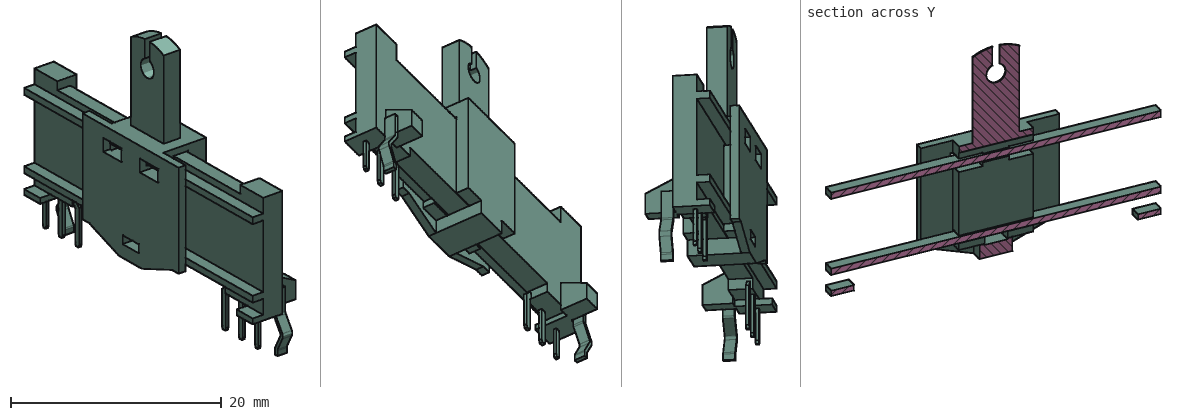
import cadquery as cq


CLEARANCE = 0.1

LENGTH = 35.0
RAIL_FRONT = 2.2
RAIL_BACK = 4.55
RAIL_BOTTOM = 1.68
RAIL_TOP = 12.1
LEDGE_FRONT = 3.78
LEDGE_TOP = 11.1

RIB_FRONT = 0.95
RIB_HEIGHT = 0.75
LOWER_RIB_BOTTOM = 2.3
UPPER_RIB_BOTTOM = 10.65

POST_TOP = 13.05
POST_INNER = 14.0
LUG_INNER = 11.72
LUG_BOTTOM = 0.63
FOOT_LENGTH = 2.45

BRACKET_OUTER = 15.85
BRACKET_WIDTH = 1.82
BRACKET_BACK = 7.5
BRACKET_BACK_HEIGHT = 2.0
BRACKET_FRONT_HEIGHT = 3.43

PIN_FRONT = 2.4
PIN_THICKNESS = 0.3
PIN_BOTTOM = -3.5
PIN_TIP_HEIGHT = 0.3
PIN_TIP_CUT = 0.1
PIN_WIDTH = 0.63
FOOT_PIN_X = 16.25
FOOT_PIN_WIDTH = 0.52
LUG_PIN_X = 13.8
BENT_PIN_X = 11.25
BENT_PIN_TOP = 1.3
BENT_PIN_FLAT = 0.25

CLIP_FRONT = 4.72
CLIP_BACK = 5.88
CLIP_THICKNESS = 0.42
CLIP_BEND_Z = -0.75
CLIP_PEAK_Z = -2.5
CLIP_TAIL_Z = -4.25
CLIP_BOTTOM = -4.95
CLIP_PEAK_X = 17.43
CLIP_TAIL_X = 16.52
CLIP_PEAK_RADIUS = 0.52
CLIP_BEND_RADIUS = 0.35

PLATE_THICKNESS = 0.85
PLATE_HALF_WIDTH = 7.35
PLATE_TAPER_HALF_WIDTH = 6.35
PLATE_TIP_HALF_WIDTH = 1.75
SLIDER_TOP = 12.95
BLOCK_WIDTH = 7.9
BLOCK_BACK = 6.02

WINDOW_INNER = 1.4
WINDOW_OUTER = 4.2
WINDOW_BOTTOM = 10.1
WINDOW_TOP = 11.6
LOWER_WINDOW_WIDTH = 2.45
LOWER_WINDOW_BOTTOM = 1.47
LOWER_WINDOW_TOP = 2.4

LEVER_WIDTH = 5.0
LEVER_THICKNESS = 2.0
LEVER_FRONT = 2.03
LEVER_SHOULDER = 22.33
LEVER_PEAK = 22.95
HOLE_DIAMETER = 2.0
HOLE_Z = 19.95
SLOT_WIDTH = 0.75
WEB_THICKNESS = 0.65
WEB_TOP = 22.22


def box(x0, x1, y0, y1, z0, z1):
    """Block between two opposite corners."""
    return cq.Workplane("XY").box(x1 - x0, y1 - y0, z1 - z0, centered=False).translate((x0, y0, z0))


def extrude_y(points, y0, y1):
    """Polygon of (X, Z) points extruded from y0 to y1."""
    return cq.Workplane("XZ", origin=(0, y0, 0)).polyline(points).close().extrude(y0 - y1)


def extrude_x(points, width):
    """Polygon of (Y, Z) points extruded to the given width, centred on X = 0."""
    return cq.Workplane("YZ").polyline(points).close().extrude(width / 2, both=True)


def rail(length, gap=0.0):
    """Stepped rail section; a gap enlarges it into the matching tunnel."""
    bottom = RAIL_BOTTOM - gap
    front = RAIL_FRONT - gap
    back = RAIL_BACK + gap
    ledge_front = LEDGE_FRONT + gap
    section = [
        (front, bottom),
        (back, bottom),
        (back, LEDGE_TOP + gap),
        (ledge_front, LEDGE_TOP + gap),
        (ledge_front, RAIL_TOP + gap),
        (front, RAIL_TOP + gap),
    ]
    return extrude_x(section, length)


def mirrored_pair(shape):
    """Shape together with its mirror image across X = 0."""
    return shape.union(shape.mirror("YZ"))


def straight_pin(x_center, width, top):
    """Flat terminal with a tapered tip."""
    half = width / 2
    tip_half = half - PIN_TIP_CUT
    tip_start = PIN_BOTTOM + PIN_TIP_HEIGHT
    outline = [
        (x_center - half, top),
        (x_center + half, top),
        (x_center + half, tip_start),
        (x_center + tip_half, PIN_BOTTOM),
        (x_center - tip_half, PIN_BOTTOM),
        (x_center - half, tip_start),
    ]
    return extrude_y(outline, PIN_FRONT, PIN_FRONT + PIN_THICKNESS)


def bent_pin():
    """Flat terminal that leaves the side of the lug and turns down."""
    outer_x = -BENT_PIN_X + PIN_WIDTH / 2
    inner_x = -BENT_PIN_X - PIN_WIDTH / 2
    slope_run = LUG_INNER - BENT_PIN_FLAT + outer_x
    elbow_z = BENT_PIN_TOP - slope_run
    inner_elbow_z = LUG_BOTTOM - (inner_x + LUG_INNER)
    elbow = extrude_y(
        [
            (-LUG_INNER, BENT_PIN_TOP),
            (-LUG_INNER + BENT_PIN_FLAT, BENT_PIN_TOP),
            (outer_x, elbow_z),
            (inner_x, inner_elbow_z),
            (-LUG_INNER, LUG_BOTTOM),
        ],
        PIN_FRONT,
        PIN_FRONT + PIN_THICKNESS,
    )
    return elbow.union(straight_pin(-BENT_PIN_X, PIN_WIDTH, elbow_z))


def clip():
    """Springy strip on the outer side of the bracket, kinked outward below the seating plane."""
    top_x = BRACKET_OUTER + CLIP_THICKNESS
    outer = [
        (-top_x, BRACKET_BACK_HEIGHT),
        (-top_x, CLIP_BEND_Z),
        (-CLIP_PEAK_X, CLIP_PEAK_Z),
        (-CLIP_TAIL_X, CLIP_TAIL_Z),
        (-CLIP_TAIL_X, CLIP_BOTTOM),
    ]
    inner = [(x + CLIP_THICKNESS, z) for x, z in reversed(outer)]
    strip = extrude_y(outer + inner, CLIP_FRONT, CLIP_BACK)

    def edge_at(x, z):
        return cq.selectors.NearestToPointSelector((x, (CLIP_FRONT + CLIP_BACK) / 2, z))

    for x, z in outer[1:-1] + inner[1:-1]:
        radius = CLIP_PEAK_RADIUS if x == -CLIP_PEAK_X else CLIP_BEND_RADIUS
        strip = strip.edges("|Y").edges(edge_at(x, z)).fillet(radius)
    return strip


def housing_end():
    """Post, lug, foot, bracket and terminals of the -X end."""
    end_x = -LENGTH / 2
    post = box(end_x, -POST_INNER, RAIL_FRONT, RAIL_BACK, LUG_BOTTOM, POST_TOP)
    lug = box(end_x, -LUG_INNER, RAIL_FRONT, RAIL_BACK, LUG_BOTTOM, RAIL_BOTTOM)
    foot = box(end_x, end_x + FOOT_LENGTH, RIB_FRONT, RAIL_BACK, 0, LUG_BOTTOM)
    bracket_section = [
        (RAIL_BACK, 0),
        (BRACKET_BACK, 0),
        (BRACKET_BACK, BRACKET_BACK_HEIGHT),
        (RAIL_BACK, BRACKET_FRONT_HEIGHT),
    ]
    bracket_center = -BRACKET_OUTER + BRACKET_WIDTH / 2
    bracket = extrude_x(bracket_section, BRACKET_WIDTH).translate((bracket_center, 0, 0))
    end = post.union(lug).union(foot).union(bracket).union(clip())
    end = end.union(straight_pin(-FOOT_PIN_X, FOOT_PIN_WIDTH, 0))
    end = end.union(straight_pin(-LUG_PIN_X, PIN_WIDTH, LUG_BOTTOM))
    return end.union(bent_pin())


def make_housing():
    """Rail with two guide ribs and a matching end on each side."""
    body = rail(LENGTH)
    body = body.union(mirrored_pair(housing_end()))
    for bottom in (LOWER_RIB_BOTTOM, UPPER_RIB_BOTTOM):
        rib = box(-LENGTH / 2, LENGTH / 2, RIB_FRONT, RAIL_FRONT, bottom, bottom + RIB_HEIGHT)
        body = body.union(rib)
    return body


def slider_body():
    """Tapered front plate, block around the rail and the foot that closes it underneath."""
    plate_outline = [
        (-PLATE_HALF_WIDTH, SLIDER_TOP),
        (PLATE_HALF_WIDTH, SLIDER_TOP),
        (PLATE_HALF_WIDTH, RAIL_BOTTOM),
        (PLATE_TAPER_HALF_WIDTH, RAIL_BOTTOM),
        (PLATE_TIP_HALF_WIDTH, 0),
        (-PLATE_TIP_HALF_WIDTH, 0),
        (-PLATE_TAPER_HALF_WIDTH, RAIL_BOTTOM),
        (-PLATE_HALF_WIDTH, RAIL_BOTTOM),
    ]
    plate = extrude_y(plate_outline, 0, PLATE_THICKNESS)
    half = BLOCK_WIDTH / 2
    block_bottom = RAIL_BOTTOM - CLEARANCE
    block = box(-half, half, PLATE_THICKNESS, BLOCK_BACK, block_bottom, SLIDER_TOP)
    floor = box(-PLATE_TIP_HALF_WIDTH, PLATE_TIP_HALF_WIDTH, PLATE_THICKNESS, BLOCK_BACK, 0, block_bottom)
    return plate.union(block).union(floor)


def cut_rail_passage(body):
    """Tunnel for the rail and one groove for each rib."""
    body = body.cut(rail(BLOCK_WIDTH, CLEARANCE))
    half = BLOCK_WIDTH / 2
    for bottom, gap_below in ((LOWER_RIB_BOTTOM, 0), (UPPER_RIB_BOTTOM, CLEARANCE)):
        groove_top = bottom + RIB_HEIGHT + CLEARANCE
        groove = box(-half, half, PLATE_THICKNESS, RAIL_FRONT, bottom - gap_below, groove_top)
        body = body.cut(groove)
    return body


def cut_windows(body):
    """Two upper windows and a lower one, from the front of the plate into the tunnel."""
    upper = box(WINDOW_INNER, WINDOW_OUTER, 0, RAIL_FRONT, WINDOW_BOTTOM, WINDOW_TOP)
    half = LOWER_WINDOW_WIDTH / 2
    lower = box(-half, half, 0, RAIL_FRONT, LOWER_WINDOW_BOTTOM, LOWER_WINDOW_TOP)
    return body.cut(mirrored_pair(upper)).cut(lower)


def make_lever():
    """Upright with a rounded top and a slotted hole; a thin web bridges the slot."""
    half = LEVER_WIDTH / 2
    back = LEVER_FRONT + LEVER_THICKNESS
    lever = (
        cq.Workplane("XZ", origin=(0, LEVER_FRONT, 0))
        .moveTo(-half, SLIDER_TOP)
        .lineTo(half, SLIDER_TOP)
        .lineTo(half, LEVER_SHOULDER)
        .threePointArc((0, LEVER_PEAK), (-half, LEVER_SHOULDER))
        .close()
        .extrude(-LEVER_THICKNESS)
    )
    slot_half = SLOT_WIDTH / 2
    slot = box(-slot_half, slot_half, LEVER_FRONT, back, HOLE_Z, LEVER_PEAK)
    web_front = LEVER_FRONT + (LEVER_THICKNESS - WEB_THICKNESS) / 2
    web = box(-slot_half, slot_half, web_front, web_front + WEB_THICKNESS, HOLE_Z, WEB_TOP)
    hole = (
        cq.Workplane("XZ", origin=(0, LEVER_FRONT, 0))
        .center(0, HOLE_Z)
        .circle(HOLE_DIAMETER / 2)
        .extrude(-LEVER_THICKNESS)
    )
    return lever.cut(slot).union(web).cut(hole)


def make_slider():
    """Slider body with its rail passage, windows and lever."""
    body = cut_windows(cut_rail_passage(slider_body()))
    return body.union(make_lever())


housing = make_housing()
slider = make_slider()

result = cq.Compound.makeCompound([housing.solids().val(), slider.solids().val()])